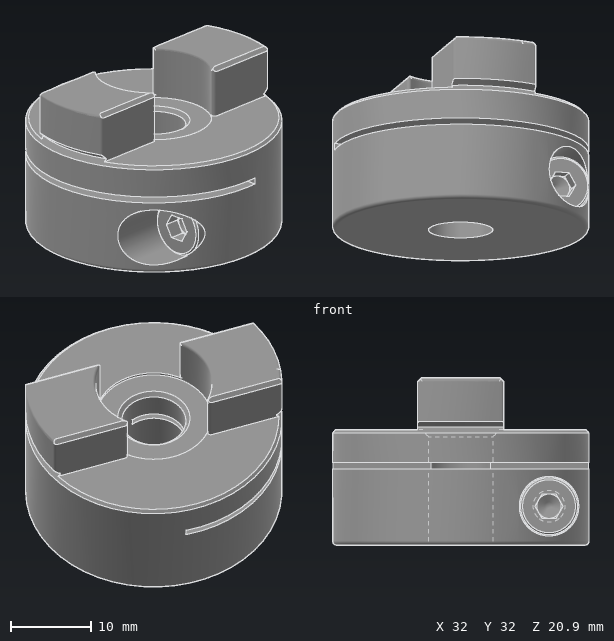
import cadquery as cq
import math

OUTER_RADIUS = 16.0
DISC_HEIGHT = 14.4
BORE_RADIUS = 4.0
BORE_CHAMFER = 0.5
BOTTOM_FILLET = 0.5
RECESS_RADIUS = 7.23
RECESS_DEPTH = 0.4

TOTAL_HEIGHT = 20.9
CLAW_WIDTH = 10.8
CLAW_TOP_CHAMFER = 0.5
CLAW_TOP_FILLET = 0.5
CLAW_UPRIGHT_FILLET = 0.4

GROOVE_DEPTH = 0.7
GROOVE_CENTRE_Z = 14.72

SLOT_BOTTOM_Z = 9.55
SLOT_HEIGHT = 0.8
SLOT_END_Y = 1.5

SCREW_X = 11.0
SCREW_Z = 4.85
HEAD_FACE_Y = -7.5
HEAD_RADIUS = 3.55
HEAD_HEIGHT = 4.0
HEAD_CHAMFER = 0.25
COUNTERBORE_RADIUS = 3.7
SHANK_RADIUS = 2.0
SHANK_LENGTH = 10.0
SOCKET_ACROSS_FLATS = 3.05
SOCKET_DEPTH = 2.0
SOCKET_CONE_HEIGHT = 0.8


def screw_rod(radius, start_y, length):
    """Cylinder on the screw axis, growing toward +Y from start_y."""
    start = cq.Vector(SCREW_X, start_y, SCREW_Z)
    return cq.Workplane(cq.Solid.makeCylinder(radius, length, start, cq.Vector(0, 1, 0)))


def make_disc():
    disc = cq.Workplane().circle(OUTER_RADIUS).extrude(DISC_HEIGHT)
    return disc.faces("<Z").edges().fillet(BOTTOM_FILLET)


def make_claw(side):
    """Claw on the +Y (side = 1) or -Y (side = -1) half: straight top edges chamfered, the others rounded."""
    claw_height = TOTAL_HEIGHT - DISC_HEIGHT
    ring = (
        cq.Workplane()
        .workplane(offset=DISC_HEIGHT)
        .circle(OUTER_RADIUS)
        .circle(RECESS_RADIUS)
        .extrude(claw_height)
    )
    bar = (
        cq.Workplane()
        .box(CLAW_WIDTH, OUTER_RADIUS, claw_height, centered=(True, True, False))
        .translate((0, side * OUTER_RADIUS / 2, DISC_HEIGHT))
    )
    claw = ring.intersect(bar)
    claw = claw.faces(">Z").edges("|Y").chamfer(CLAW_TOP_CHAMFER)
    claw = claw.faces(">Z").edges("%CIRCLE").fillet(CLAW_TOP_FILLET)
    return claw.edges("|Z").fillet(CLAW_UPRIGHT_FILLET)


def make_groove():
    """Triangular ring that cuts the V groove into the rim."""
    return (
        cq.Workplane("XZ")
        .moveTo(OUTER_RADIUS - GROOVE_DEPTH, GROOVE_CENTRE_Z)
        .lineTo(OUTER_RADIUS, GROOVE_CENTRE_Z - GROOVE_DEPTH)
        .lineTo(OUTER_RADIUS, GROOVE_CENTRE_Z + GROOVE_DEPTH)
        .close()
        .revolve(360, (0, 0, 0), (0, 1, 0))
    )


def make_bore():
    """Shallow round recess, then a through bore with a chamfered mouth."""
    floor_z = DISC_HEIGHT - RECESS_DEPTH
    recess = cq.Workplane().workplane(offset=floor_z).circle(RECESS_RADIUS).extrude(RECESS_DEPTH)
    bore = cq.Workplane().circle(BORE_RADIUS).extrude(floor_z)
    mouth = cq.Workplane(
        cq.Solid.makeCone(
            BORE_RADIUS, BORE_RADIUS + BORE_CHAMFER, BORE_CHAMFER, cq.Vector(0, 0, floor_z - BORE_CHAMFER)
        )
    )
    return recess.union(bore).union(mouth)


def make_slot():
    slot_length = SLOT_END_Y + OUTER_RADIUS
    return (
        cq.Workplane()
        .box(2 * OUTER_RADIUS, slot_length, SLOT_HEIGHT, centered=(True, False, False))
        .translate((0, -OUTER_RADIUS, SLOT_BOTTOM_Z))
    )


def make_screw_hole():
    """Counterbore open to the rim, followed by the blind shank hole."""
    seat_y = HEAD_FACE_Y + HEAD_HEIGHT
    counterbore = screw_rod(COUNTERBORE_RADIUS, -OUTER_RADIUS, OUTER_RADIUS + seat_y)
    return counterbore.union(screw_rod(SHANK_RADIUS, seat_y, SHANK_LENGTH))


def make_hub():
    hub = make_disc()
    for side in (1, -1):
        hub = hub.union(make_claw(side))
    for cutter in (make_groove(), make_bore(), make_slot(), make_screw_hole()):
        hub = hub.cut(cutter)
    return hub


def make_socket():
    """Hexagonal socket ending in a drill cone."""
    across_corners = SOCKET_ACROSS_FLATS / math.cos(math.pi / 6)
    hexagon = (
        cq.Workplane("XZ", origin=(SCREW_X, HEAD_FACE_Y, SCREW_Z))
        .polygon(6, across_corners)
        .extrude(-SOCKET_DEPTH)
    )
    cone_base = cq.Vector(SCREW_X, HEAD_FACE_Y + SOCKET_DEPTH, SCREW_Z)
    cone = cq.Solid.makeCone(SOCKET_ACROSS_FLATS / 2, 0, SOCKET_CONE_HEIGHT, cone_base, cq.Vector(0, 1, 0))
    return hexagon.union(cq.Workplane(cone))


def make_screw():
    head = screw_rod(HEAD_RADIUS, HEAD_FACE_Y, HEAD_HEIGHT).faces("<Y").edges().chamfer(HEAD_CHAMFER)
    shank = screw_rod(SHANK_RADIUS, HEAD_FACE_Y + HEAD_HEIGHT, SHANK_LENGTH)
    return head.union(shank).cut(make_socket())


hub = make_hub()
screw = make_screw()

result = cq.Compound.makeCompound([hub.val(), screw.val()])